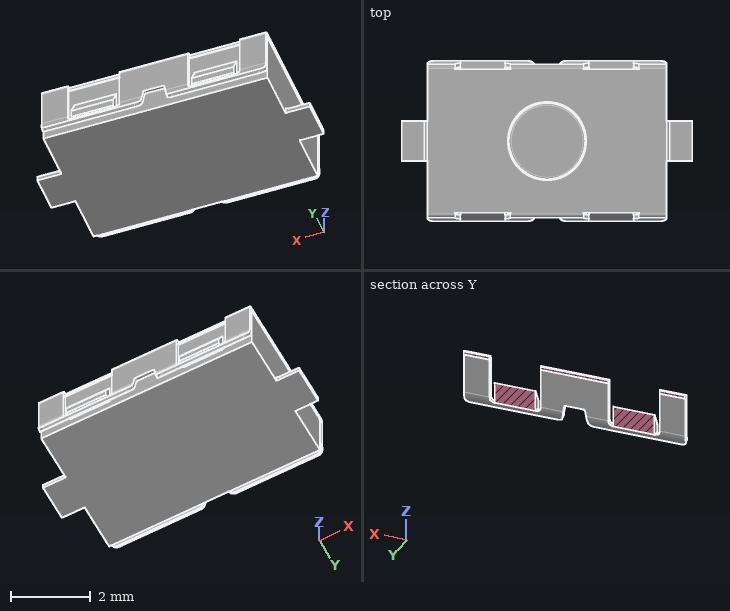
import cadquery as cq
import math

body_length = 6.0
base_width = 3.6
base_height = 1.47
button_diameter = 1.91
button_top = 2.5
button_edge_radius = 0.05
overall_length = 7.29
overall_width = 4.03
lead_width = 1.005
lead_height = 0.14
lead_root_height = 0.175
lead_ramp_length = 0.08

cover_gap = 0.025
sheet = 0.1
hole_diameter = 1.97
flare_start = 0.43
flare_angle = 36.0
flare_corner_radius = 0.16

window_offset = 1.61
window_width = 1.385
window_bottom = 0.285
window_corner_radius = 0.12
hook_width = 1.12
hook_top = 0.91
hook_shoulder = 0.495
hook_bottom = window_bottom
hook_reach = 2.01

notch_top = 0.605
notch_top_width = 0.555
notch_slope = 10.0
notch_corner_radius = 0.045

half_length = body_length / 2
half_base = base_width / 2
inner_half = half_base + cover_gap
outer_half = inner_half + sheet
flare_reach = overall_width / 2 - outer_half
flare_radius = flare_reach / (1 - math.cos(math.radians(flare_angle)))
cover_underside = base_height + cover_gap
cover_top = cover_underside + sheet
window_centres = (-window_offset, window_offset)
cut_depth = 2 * outer_half


def make_hook(x_centre):
    """Wedge-shaped latch on the -Y face of the base."""
    return (
        cq.Workplane("YZ", origin=(x_centre - hook_width / 2, 0, 0))
        .polyline([
            (-half_base, hook_top),
            (-hook_reach, hook_shoulder),
            (-hook_reach, hook_bottom),
            (-half_base, hook_bottom),
        ])
        .close()
        .extrude(hook_width)
    )


def make_lead():
    """Flat lead on the -X end with a short ramp up to the block."""
    ramp_end = -half_length - lead_ramp_length
    return (
        cq.Workplane("XZ", origin=(0, lead_width / 2, 0))
        .polyline([
            (-half_length, 0),
            (-overall_length / 2, 0),
            (-overall_length / 2, lead_height),
            (ramp_end, lead_height),
            (-half_length, lead_root_height),
        ])
        .close()
        .extrude(lead_width)
    )


def make_base():
    """Block with its button, two leads and four hooks, moulded as one."""
    block = cq.Workplane("XY").box(body_length, base_width, base_height, centered=(True, True, False))
    button = (
        cq.Workplane("XY")
        .circle(button_diameter / 2)
        .extrude(button_top)
        .faces(">Z")
        .edges()
        .fillet(button_edge_radius)
    )
    base = block.union(button)
    lead = make_lead()
    base = base.union(lead).union(lead.mirror("YZ"))
    for x_centre in window_centres:
        hook = make_hook(x_centre)
        base = base.union(hook).union(hook.mirror("XZ"))
    return base


def flare_point(radius, degrees):
    """Point (y, z) on the +Y curl, whose centre lies outside the skirt."""
    angle = math.radians(degrees)
    y = outer_half + flare_radius - radius * math.cos(angle)
    z = flare_start - radius * math.sin(angle)
    return (y, z)


def make_cover_half():
    """+Y half of the bent sheet: top, side skirt and outward curl."""
    inner_flare_radius = flare_radius + sheet
    bend_offset = sheet * math.sqrt(0.5)
    bend_middle = (inner_half + bend_offset, cover_underside + bend_offset)
    return (
        cq.Workplane("YZ", origin=(-half_length, 0, 0))
        .moveTo(0, cover_top)
        .lineTo(inner_half, cover_top)
        .threePointArc(bend_middle, (outer_half, cover_underside))
        .lineTo(outer_half, flare_start)
        .threePointArc(flare_point(flare_radius, flare_angle / 2), flare_point(flare_radius, flare_angle))
        .lineTo(*flare_point(inner_flare_radius, flare_angle))
        .threePointArc(flare_point(inner_flare_radius, flare_angle / 2), (inner_half, flare_start))
        .lineTo(inner_half, cover_underside)
        .lineTo(0, cover_underside)
        .close()
        .extrude(body_length)
    )


def make_notch():
    """Tapered opening that widens downward, cut through the +Y skirt."""
    half_top = notch_top_width / 2
    half_bottom = half_top + notch_top * math.tan(math.radians(notch_slope))
    return (
        cq.Workplane("XZ")
        .polyline([
            (-half_top, notch_top),
            (half_top, notch_top),
            (half_bottom, 0),
            (-half_bottom, 0),
        ])
        .close()
        .extrude(-cut_depth)
        .faces(">Z")
        .edges("|Y")
        .fillet(notch_corner_radius)
    )


def make_window(x_centre):
    """Opening in the +Y skirt with rounded lower corners, running out through the top bend."""
    return (
        cq.Workplane("XY", origin=(x_centre, half_base, window_bottom))
        .box(window_width, cut_depth, cover_top, centered=(True, False, False))
        .faces("<Z")
        .edges("|Y")
        .fillet(window_corner_radius)
    )


def make_cover():
    """Folded sheet cover with a button hole, notched lips and four windows."""
    angle = math.radians(flare_angle)
    lip_direction = cq.Vector(0, math.sin(angle), -math.cos(angle))
    half = make_cover_half().cut(make_notch())
    half = (
        half.faces(cq.selectors.DirectionMinMaxSelector(lip_direction))
        .edges("not |X")
        .fillet(flare_corner_radius)
    )
    for x_centre in window_centres:
        half = half.cut(make_window(x_centre))
    cover = half.union(half.mirror("XZ"))
    hole = cq.Workplane("XY").circle(hole_diameter / 2).extrude(button_top)
    return cover.cut(hole)


base = make_base()
cover = make_cover()
result = cq.Compound.makeCompound([base.val(), cover.val()])